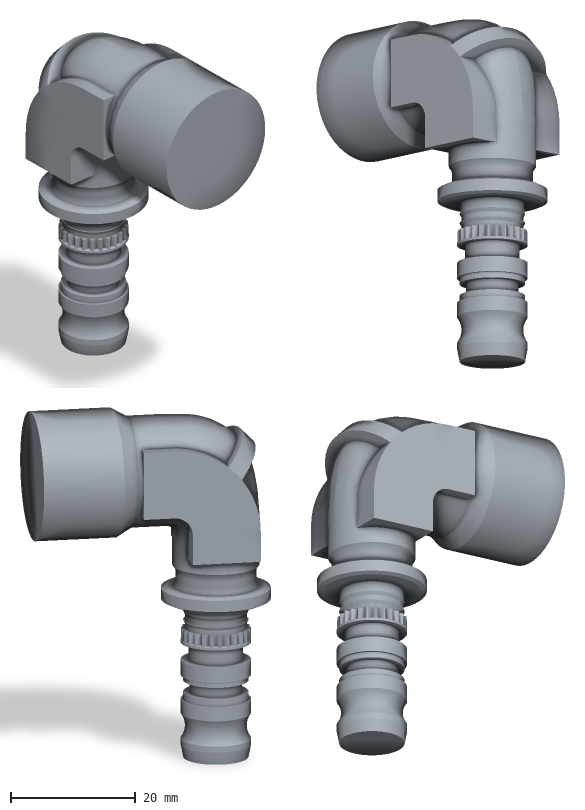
import cadquery as cq
import math

stem_radius = 7.0
pipe_radius = 9.0
pipe_axis_z = 48.0
bend_start_z = 37.0
bend_end_x = 8.9

socket_radius = 10.45
cone_start_x = 14.25
socket_start_x = 16.85
socket_end_x = 30.0

bend_squareness = 2.9
bend_sections = 7

pad_half_width = 5.55
pad_half_depth = 9.6
pad_centre_radius = 8.55
pad_bottom_z = 34.55
pad_end_x = 13.5
pad_centre_x = pad_centre_radius
pad_centre_z = pipe_axis_z - pad_centre_radius
pad_outer_radius = pad_centre_radius + pad_half_width
pad_inner_radius = pad_centre_radius - pad_half_width

rib_width = 3.1
rib_crest_radius = 19.35

collar_radius = 8.85
collar_bottom_z = 25.95
collar_top_z = 28.55
collar_chamfer_height = 0.35
collar_chamfer_width = 0.75
groove_radius = 6.5
groove_fillet_height = 1.15
groove_top_z = 32.0

land_radius = 5.7
shoulder_radius = 5.25
neck_radius = 5.15
core_radius = 5.0
upper_seat_radius = 4.4
lower_seat_radius = 4.2
taper_top_z = 2.1
waist_bottom_z = 3.1
waist_top_z = 7.3
lower_land_top_z = 9.65
lower_seat_bottom_z = 10.8
lower_seat_top_z = 12.75
upper_land_bottom_z = 13.7
upper_land_top_z = 16.2
ridge_height = 0.5
upper_ridge_z = 24.25
lower_ridge_z = 22.75

knurl_bottom_z = 19.05
knurl_cone_start_z = 19.5
knurl_cone_end_z = 19.7
knurl_top_z = 21.45
knurl_teeth = 25
knurl_tip_radius = 5.6
knurl_tip_share = 0.15
knurl_root_share = 0.05


def make_stem():
    """Solid of revolution about Z, from the bottom end up to the bend."""
    waist_middle_z = (waist_bottom_z + waist_top_z) / 2
    chamfer_radius = collar_radius - collar_chamfer_width
    fillet_rise = stem_radius - groove_radius
    fillet_radius = (fillet_rise**2 + groove_fillet_height**2) / (2 * fillet_rise)
    half_angle = math.asin(groove_fillet_height / fillet_radius) / 2
    mid_radius = groove_radius + fillet_radius * (1 - math.cos(half_angle))
    mid_height = fillet_radius * math.sin(half_angle)
    groove_low_z = collar_top_z + groove_fillet_height
    groove_high_z = groove_top_z - groove_fillet_height

    profile = (
        cq.Workplane("XZ")
        .lineTo(shoulder_radius, 0)
        .lineTo(land_radius, taper_top_z)
        .lineTo(land_radius, waist_bottom_z)
        .threePointArc((core_radius, waist_middle_z), (land_radius, waist_top_z))
        .lineTo(land_radius, lower_land_top_z)
        .lineTo(shoulder_radius, lower_land_top_z)
        .lineTo(shoulder_radius, lower_seat_bottom_z)
        .lineTo(lower_seat_radius, lower_seat_bottom_z)
        .lineTo(lower_seat_radius, lower_seat_top_z)
        .lineTo(shoulder_radius, lower_seat_top_z)
        .lineTo(shoulder_radius, upper_land_bottom_z)
        .lineTo(land_radius, upper_land_bottom_z)
        .lineTo(land_radius, upper_land_top_z)
        .lineTo(upper_seat_radius, upper_land_top_z)
        .lineTo(upper_seat_radius, knurl_bottom_z)
        .lineTo(land_radius, knurl_bottom_z)
        .lineTo(land_radius, knurl_cone_start_z)
        .lineTo(core_radius, knurl_cone_end_z)
        .lineTo(core_radius, lower_ridge_z - ridge_height)
        .lineTo(shoulder_radius, lower_ridge_z)
        .lineTo(core_radius, lower_ridge_z)
        .lineTo(core_radius, upper_ridge_z - ridge_height)
        .lineTo(shoulder_radius, upper_ridge_z)
        .lineTo(neck_radius, upper_ridge_z)
        .lineTo(neck_radius, collar_bottom_z)
        .lineTo(chamfer_radius, collar_bottom_z)
        .lineTo(collar_radius, collar_bottom_z + collar_chamfer_height)
        .lineTo(collar_radius, collar_top_z - collar_chamfer_height)
        .lineTo(chamfer_radius, collar_top_z)
        .lineTo(stem_radius, collar_top_z)
        .threePointArc((mid_radius, groove_low_z - mid_height), (groove_radius, groove_low_z))
        .lineTo(groove_radius, groove_high_z)
        .threePointArc((mid_radius, groove_high_z + mid_height), (stem_radius, groove_top_z))
        .lineTo(stem_radius, bend_start_z)
        .lineTo(0, bend_start_z)
        .close()
    )
    return profile.revolve(360, (0, 0, 0), (0, 1, 0))


def make_knurl():
    """Ring of pointed teeth with a tooth centred on the +X direction."""
    pitch = 2 * math.pi / knurl_teeth
    half_tip = pitch * knurl_tip_share / 2
    half_base = pitch * (1 - knurl_root_share) / 2
    tooth_corners = [
        (core_radius, -half_base),
        (knurl_tip_radius, -half_tip),
        (knurl_tip_radius, half_tip),
        (core_radius, half_base),
    ]
    outline = []
    for tooth in range(knurl_teeth):
        tooth_angle = tooth * pitch
        for radius, offset in tooth_corners:
            angle = tooth_angle + offset
            outline.append((radius * math.cos(angle), radius * math.sin(angle)))
    return (
        cq.Workplane("XY", origin=(0, 0, knurl_bottom_z))
        .polyline(outline)
        .close()
        .extrude(knurl_top_z - knurl_bottom_z)
    )


def make_bend():
    """Loft of ellipses fanned about the inner corner of the elbow, from stem to pipe."""
    outer_reach_x = bend_end_x + stem_radius
    inner_reach_x = bend_end_x - stem_radius
    outer_reach_z = pipe_axis_z + pipe_radius - bend_start_z
    inner_reach_z = pipe_axis_z - pipe_radius - bend_start_z

    wires = []
    for index in range(bend_sections):
        share = index / (bend_sections - 1)
        angle = share * math.pi / 2
        cosine = abs(math.cos(angle))
        sine = abs(math.sin(angle))
        spread = (cosine**bend_squareness + sine**bend_squareness) ** (-1 / bend_squareness)
        outer = cq.Vector(-outer_reach_x * spread * cosine, 0, outer_reach_z * spread * sine)
        inner = cq.Vector(-inner_reach_x * spread * cosine, 0, inner_reach_z * spread * sine)
        middle = (outer + inner) * 0.5 + cq.Vector(bend_end_x, 0, bend_start_z)
        outward = outer - inner
        blend = share**2 * (3 - 2 * share)
        half_width = stem_radius + (pipe_radius - stem_radius) * blend
        plane = cq.Plane(origin=middle, xDir=outward, normal=outward.cross(cq.Vector(0, 1, 0)))
        ellipse = cq.Workplane(plane).ellipse(outward.Length / 2, half_width)
        wires.append(cq.Wire.assembleEdges(ellipse.vals()[0].Edges()))
    return cq.Workplane(obj=cq.Solid.makeLoft(wires))


def make_outlet():
    """Horizontal pipe, cone and socket, revolved about the pipe axis."""
    return (
        cq.Workplane("XZ", origin=(0, 0, pipe_axis_z))
        .moveTo(bend_end_x, 0)
        .lineTo(bend_end_x, pipe_radius)
        .lineTo(cone_start_x, pipe_radius)
        .lineTo(socket_start_x, socket_radius)
        .lineTo(socket_end_x, socket_radius)
        .lineTo(socket_end_x, 0)
        .close()
        .revolve(360, (0, 0, 0), (1, 0, 0))
    )


def make_pads():
    """L-shaped block with concentric bends, as deep as both side pads together."""
    diagonal = math.sqrt(0.5)
    outer_mid = (pad_centre_x - pad_outer_radius * diagonal, pad_centre_z + pad_outer_radius * diagonal)
    inner_mid = (pad_centre_x - pad_inner_radius * diagonal, pad_centre_z + pad_inner_radius * diagonal)
    return (
        cq.Workplane("XZ")
        .moveTo(-pad_half_width, pad_bottom_z)
        .lineTo(-pad_half_width, pad_centre_z)
        .threePointArc(outer_mid, (pad_centre_x, pipe_axis_z + pad_half_width))
        .lineTo(pad_end_x, pipe_axis_z + pad_half_width)
        .lineTo(pad_end_x, pipe_axis_z - pad_half_width)
        .lineTo(pad_centre_x, pipe_axis_z - pad_half_width)
        .threePointArc(inner_mid, (pad_half_width, pad_centre_z))
        .lineTo(pad_half_width, pad_bottom_z)
        .close()
        .extrude(pad_half_depth, both=True)
    )


def make_rib():
    """Arched strap over the back of the bend, ending on the outer corners of the pads."""
    end_radius = math.sqrt(pad_outer_radius**2 - (rib_width / 2) ** 2)
    plane = cq.Plane(
        origin=(pad_centre_x, 0, pad_centre_z),
        xDir=(0, 1, 0),
        normal=(1, 0, 1),
    )
    return (
        cq.Workplane(plane)
        .moveTo(-pad_half_depth, pad_centre_radius)
        .lineTo(-pad_half_depth, end_radius)
        .threePointArc((0, rib_crest_radius), (pad_half_depth, end_radius))
        .lineTo(pad_half_depth, pad_centre_radius)
        .close()
        .extrude(rib_width / 2, both=True)
    )


result = (
    make_stem()
    .union(make_knurl())
    .union(make_bend())
    .union(make_outlet())
    .union(make_pads())
    .union(make_rib())
)